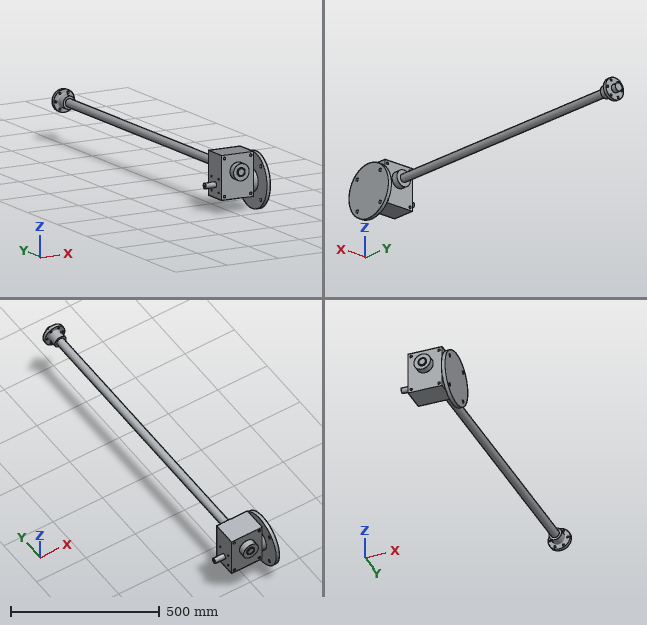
import cadquery as cq


OVERALL_LENGTH = 1258.0
OVERALL_HEIGHT = 210.0

HOUSING_X = 125.0
HOUSING_Y = 90.0
HOUSING_Z = 156.0
AXIS_DISTANCE = 50.0
BOSS_DIAMETER = 60.0
BOSS_SPAN = 140.0
CORNER_HOLE_DIAMETER = 8.4
CORNER_HOLE_SPACING_X = 102.0
CORNER_HOLE_SPACING_Z = 132.0
FACE_HOLE_DIAMETER = 4.9
FACE_HOLE_SPACING = 48.0
FACE_HOLE_DEPTH = 15.0

SHAFT_DIAMETER = 20.0
SHAFT_STICK_OUT = 40.0
CENTRE_HOLE_DIAMETER = 4.9
CENTRE_HOLE_DEPTH = 10.0

NECK_DIAMETER = 80.0
NECK_LENGTH = 20.0
MOTOR_DISC_DIAMETER = 200.0
MOTOR_DISC_THICKNESS = 14.0
MOTOR_BOLT_CIRCLE = 165.0
MOTOR_BOLT_HOLE_DIAMETER = 11.0
MOTOR_BOLT_COUNT = 4

SCREW_DIAMETER = 30.0
SCREW_CHAMFER = 3.1
NUT_HUB_DIAMETER = 47.0
NUT_FILLET = 3.0
NUT_FLANGE_DIAMETER = 80.0
NUT_FLANGE_THICKNESS = 13.0
NUT_LENGTH = 47.0
SCREW_BEYOND_NUT = 20.0
NUT_BOLT_CIRCLE = 63.0
NUT_BOLT_HOLE_DIAMETER = 7.0
NUT_BOLT_COUNT = 6

HOUSING_TOP = OVERALL_HEIGHT - MOTOR_DISC_DIAMETER / 2
HOUSING_CENTRE_Z = HOUSING_TOP - HOUSING_Z / 2
HOUSING_LEFT = -HOUSING_X / 2
HOUSING_RIGHT = HOUSING_X / 2
SCREW_START = -BOSS_SPAN / 2
SCREW_END = OVERALL_LENGTH - MOTOR_DISC_DIAMETER / 2
NUT_FAR_END = SCREW_END - SCREW_BEYOND_NUT


def x_plane(x):
    """Plane facing +X with its origin on the input axis; local x is Y and local y is Z."""
    return cq.Workplane("YZ", origin=(x, 0, 0))


def screw_cylinder(diameter, start, end):
    """Cylinder on the screw axis between two Y positions."""
    plane = cq.Workplane("XZ", origin=(0, start, AXIS_DISTANCE))
    return plane.circle(diameter / 2).extrude(start - end)


def make_housing():
    body = cq.Workplane("XY").box(HOUSING_X, HOUSING_Y, HOUSING_Z)
    body = body.translate((0, 0, HOUSING_CENTRE_Z))
    body = body.union(screw_cylinder(BOSS_DIAMETER, -BOSS_SPAN / 2, BOSS_SPAN / 2))
    corner_holes = (
        cq.Workplane("XZ", origin=(0, 0, HOUSING_CENTRE_Z))
        .rarray(CORNER_HOLE_SPACING_X, CORNER_HOLE_SPACING_Z, 2, 2)
        .circle(CORNER_HOLE_DIAMETER / 2)
        .extrude(HOUSING_Y, both=True)
    )
    face_holes = (
        x_plane(HOUSING_LEFT)
        .rarray(FACE_HOLE_SPACING, FACE_HOLE_SPACING, 2, 2)
        .circle(FACE_HOLE_DIAMETER / 2)
        .extrude(FACE_HOLE_DEPTH)
    )
    screw_bore = screw_cylinder(SCREW_DIAMETER, -BOSS_SPAN / 2, BOSS_SPAN / 2)
    shaft_bore = x_plane(HOUSING_LEFT).circle(SHAFT_DIAMETER / 2).extrude(HOUSING_X)
    return body.cut(corner_holes).cut(face_holes).cut(screw_bore).cut(shaft_bore)


def make_input_shaft():
    free_end = HOUSING_LEFT - SHAFT_STICK_OUT
    shaft = x_plane(free_end).circle(SHAFT_DIAMETER / 2).extrude(SHAFT_STICK_OUT + HOUSING_X)
    centre_hole = x_plane(free_end).circle(CENTRE_HOLE_DIAMETER / 2).extrude(CENTRE_HOLE_DEPTH)
    return shaft.cut(centre_hole)


def make_motor_flange():
    disc_face = HOUSING_RIGHT + NECK_LENGTH
    neck = x_plane(HOUSING_RIGHT).circle(NECK_DIAMETER / 2).extrude(NECK_LENGTH)
    disc = x_plane(disc_face).circle(MOTOR_DISC_DIAMETER / 2).extrude(MOTOR_DISC_THICKNESS)
    first_hole_angle = 180 / MOTOR_BOLT_COUNT
    bolt_holes = (
        x_plane(disc_face)
        .polarArray(MOTOR_BOLT_CIRCLE / 2, first_hole_angle, 360, MOTOR_BOLT_COUNT)
        .circle(MOTOR_BOLT_HOLE_DIAMETER / 2)
        .extrude(MOTOR_DISC_THICKNESS)
    )
    return neck.union(disc.cut(bolt_holes))


def make_screw():
    screw = screw_cylinder(SCREW_DIAMETER, SCREW_START, SCREW_END)
    return screw.faces("<Y").chamfer(SCREW_CHAMFER)


def make_nut():
    near_end = NUT_FAR_END - NUT_LENGTH
    flange_start = NUT_FAR_END - NUT_FLANGE_THICKNESS
    nut = screw_cylinder(NUT_HUB_DIAMETER, near_end, NUT_FAR_END)
    nut = nut.union(screw_cylinder(NUT_FLANGE_DIAMETER, flange_start, NUT_FAR_END))
    hub_root = cq.selectors.NearestToPointSelector((0, flange_start, AXIS_DISTANCE))
    nut = nut.edges(cq.selectors.RadiusNthSelector(0)).edges(hub_root).fillet(NUT_FILLET)
    bolt_holes = (
        cq.Workplane("XZ", origin=(0, NUT_FAR_END, AXIS_DISTANCE))
        .polarArray(NUT_BOLT_CIRCLE / 2, 0, 360, NUT_BOLT_COUNT)
        .circle(NUT_BOLT_HOLE_DIAMETER / 2)
        .extrude(NUT_FLANGE_THICKNESS)
    )
    return nut.cut(bolt_holes).cut(screw_cylinder(SCREW_DIAMETER, near_end, NUT_FAR_END))


housing = make_housing()
input_shaft = make_input_shaft()
motor_flange = make_motor_flange()
screw = make_screw()
nut = make_nut()

result = cq.Compound.makeCompound(
    [housing.val(), input_shaft.val(), motor_flange.val(), screw.val(), nut.val()]
)